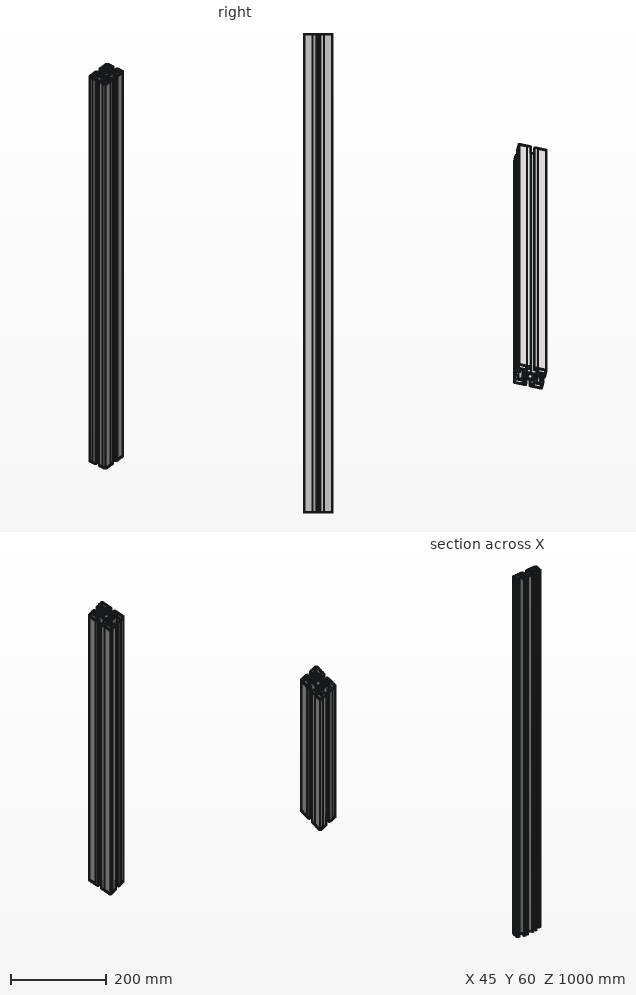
import cadquery as cq

LENGTH = 1000.0
WIDTH = 45.0
DEPTH = 60.0
CORNER_RADIUS = 2.5

SLOT_OPENING = 8.2
LIP_SLOPE_WIDTH = 2.5
LIP_SLOPE_DROP = 0.8
LIP_THICKNESS = 6.0
SLOT_INNER_WIDTH = 21.0
SLOT_CORNER_RADIUS = 2.0
CORE_WIDTH = 16.0
SLOT_DEPTH = (WIDTH - CORE_WIDTH) / 2

RIDGE_HALF_WIDTH = 2.0
RIDGE_HEIGHT = 0.5

THIN_WALL = 1.5
CHAMBER_INNER_WALL = 2 * THIN_WALL

BORE_DIAMETER = 11.0
CORE_CHAMBER_WIDTH = 10.0
CORE_CHAMBER_HEIGHT = 5.0
CORE_CHAMBER_OFFSET = 10.0


def extrude_full(sketch):
    """Extrude a sketch on the XY plane over the whole length, centred on Z = 0."""
    return sketch.extrude(LENGTH / 2, both=True)


def make_bar():
    """Solid bar with rounded long edges, centred on the origin."""
    bar = cq.Workplane("XY").box(WIDTH, DEPTH, LENGTH)
    return bar.edges("|Z").fillet(CORNER_RADIUS)


def make_slot(face_distance, angle):
    """T-slot cutter for the side at face_distance from the axis, turned about Z by angle."""
    mouth = SLOT_OPENING / 2
    inner = SLOT_INNER_WIDTH / 2
    lip_y = face_distance - LIP_THICKNESS
    floor_y = face_distance - SLOT_DEPTH
    bend = SLOT_CORNER_RADIUS
    bend_middle = bend * (1 - 0.5 ** 0.5)
    slot = (
        cq.Workplane("XY")
        .moveTo(0, face_distance)
        .lineTo(mouth + LIP_SLOPE_WIDTH, face_distance)
        .lineTo(mouth, face_distance - LIP_SLOPE_DROP)
        .lineTo(mouth, lip_y)
        .lineTo(inner, lip_y)
        .lineTo(inner, floor_y + bend)
        .threePointArc((inner - bend_middle, floor_y + bend_middle), (inner - bend, floor_y))
        .lineTo(RIDGE_HALF_WIDTH, floor_y)
        .lineTo(0, floor_y + RIDGE_HEIGHT)
        .mirrorY()
    )
    return extrude_full(slot).rotate((0, 0, 0), (0, 0, 1), angle)


def make_corner_chambers():
    """Four rectangular through chambers, one in each corner of the bar."""
    slot_half = SLOT_INNER_WIDTH / 2
    inner_x = slot_half + CHAMBER_INNER_WALL
    inner_y = slot_half + THIN_WALL
    outer_x = WIDTH / 2 - THIN_WALL
    outer_y = DEPTH / 2 - THIN_WALL
    centres = cq.Workplane("XY").rarray(inner_x + outer_x, inner_y + outer_y, 2, 2)
    return extrude_full(centres.rect(outer_x - inner_x, outer_y - inner_y))


def make_core_chambers():
    """Two flat through chambers in the core, one on each side of the bore along Y."""
    centres = cq.Workplane("XY").pushPoints([(0, side * CORE_CHAMBER_OFFSET) for side in (-1, 1)])
    return extrude_full(centres.rect(CORE_CHAMBER_WIDTH, CORE_CHAMBER_HEIGHT))


def make_bore():
    """Round through hole along the axis."""
    return extrude_full(cq.Workplane("XY").circle(BORE_DIAMETER / 2))


result = make_bar()
for slot_angle in (0, 180):
    result = result.cut(make_slot(DEPTH / 2, slot_angle))
for slot_angle in (90, 270):
    result = result.cut(make_slot(WIDTH / 2, slot_angle))
result = result.cut(make_corner_chambers())
result = result.cut(make_core_chambers())
result = result.cut(make_bore())